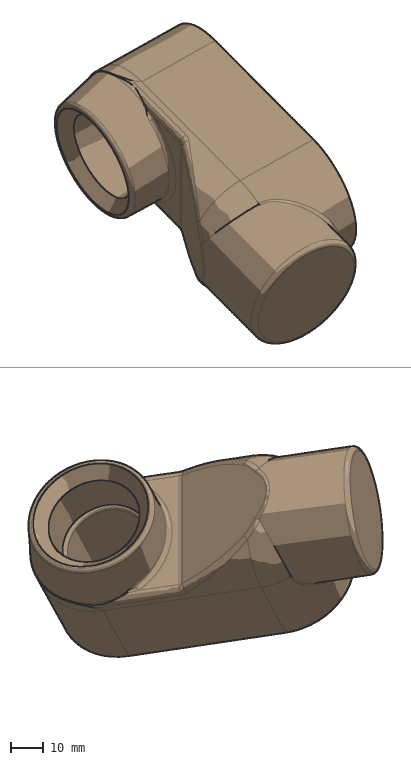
import cadquery as cq
import math

LENGTH = 107.4
DEPTH = 48.8
HALF_HEIGHT = 45.0 / 2

BODY_LENGTH = 95.8
LEFT_CENTER_X = HALF_HEIGHT
RIGHT_CENTER_X = BODY_LENGTH - HALF_HEIGHT
DRAFT_ANGLE = 0.4

PIPE_RADIUS = 40.5 / 2
PARTING_Y = PIPE_RADIUS
PIPE_OVERLAP = 2.1
PIPE_START_X = RIGHT_CENTER_X + PIPE_OVERLAP
PIPE_END_FILLET = 1.6
NECK_FILLET = 1.5

FLAT_Y = 15.9
RAMP_START_X = 48.7
RAMP_END_X = 81.2
RELIEF_FILLET = 2.6

BORE_X = 24.2
BOSS_TIP_RADIUS = PIPE_RADIUS
BOSS_ROOT_RADIUS = 22.1
BOSS_RIGHT_X = BORE_X + BOSS_TIP_RADIUS
BOSS_ROOT_X = BOSS_RIGHT_X - BOSS_ROOT_RADIUS
BOSS_TIP_FILLET = 1.3
BOSS_ROOT_FILLET = 1.5

BORE_RADIUS = 25.8 / 2
MOUTH_RADIUS = 18.6
SOCKET_OUTER_RADIUS = 14.7
SOCKET_INNER_RADIUS = 14.1
MOUTH_DEPTH = 3.8
SOCKET_DEPTH = 17.6
LIP_RADIUS = SOCKET_INNER_RADIUS - BORE_RADIUS


def stadium(y):
    """Body outline in the XZ plane at the given Y, with the normal along -Y."""
    return (
        cq.Workplane("XZ", origin=((LEFT_CENTER_X + RIGHT_CENTER_X) / 2, y, 0))
        .slot2D(BODY_LENGTH, 2 * HALF_HEIGHT)
    )


def make_pipe():
    return (
        cq.Workplane("YZ", origin=(PIPE_START_X, PARTING_Y, 0))
        .circle(PIPE_RADIUS)
        .extrude(LENGTH - PIPE_START_X)
        .faces(">X")
        .edges()
        .fillet(PIPE_END_FILLET)
    )


def make_rear_body():
    """Straight-sided rear half, slightly narrower at the back, filleted onto the pipe."""
    rear_space = (
        cq.Workplane("XY")
        .box(LENGTH, DEPTH - PARTING_Y, 2 * HALF_HEIGHT, centered=(False, False, True))
        .translate((0, PARTING_Y, 0))
    )
    neck_edges = cq.selectors.BoxSelector(
        (RIGHT_CENTER_X, PARTING_Y + NECK_FILLET, -PIPE_RADIUS),
        (BODY_LENGTH, PARTING_Y + PIPE_RADIUS, PIPE_RADIUS),
    )
    return (
        stadium(PARTING_Y)
        .extrude(PARTING_Y - DEPTH, taper=DRAFT_ANGLE)
        .union(make_pipe())
        .edges(neck_edges)
        .fillet(NECK_FILLET)
        .intersect(rear_space)
    )


def make_front_body():
    """Half-elliptic trough along X with an ellipsoidal right end."""
    trough = (
        cq.Workplane("YZ", origin=(0, PARTING_Y, 0))
        .ellipse(PARTING_Y, HALF_HEIGHT)
        .extrude(RIGHT_CENTER_X)
    )
    right_end = (
        cq.Workplane("XY", origin=(RIGHT_CENTER_X, PARTING_Y, 0))
        .moveTo(0, -PARTING_Y)
        .ellipseArc(HALF_HEIGHT, PARTING_Y, 270, 360, startAtCurrent=True)
        .lineTo(0, 0)
        .close()
        .revolve(360, (0, 0, 0), (0, 1, 0))
    )
    front_half = cq.Workplane("XY").box(
        BODY_LENGTH, PARTING_Y, 2 * HALF_HEIGHT, centered=(False, False, True)
    )
    return trough.union(right_end).intersect(front_half)


def make_relief():
    """Space in front of the flat face and the ramp."""
    margin = 5.4
    ramp_slope = FLAT_Y / (RAMP_END_X - RAMP_START_X)
    return (
        cq.Workplane("XY")
        .polyline([
            (-margin, FLAT_Y),
            (RAMP_START_X, FLAT_Y),
            (RAMP_END_X + margin, -margin * ramp_slope),
            (-margin, -margin * ramp_slope),
        ])
        .close()
        .extrude(2 * HALF_HEIGHT, both=True)
    )


def make_boss():
    """Loft from the wide root to the tip, with a straight root sunk into the body."""
    along_y = cq.Vector(0, 1, 0)
    root_circle = cq.Wire.makeCircle(BOSS_ROOT_RADIUS, cq.Vector(BOSS_ROOT_X, FLAT_Y, 0), along_y)
    tip_circle = cq.Wire.makeCircle(BOSS_TIP_RADIUS, cq.Vector(BORE_X, 0, 0), along_y)
    root = (
        cq.Workplane("XZ", origin=(BOSS_ROOT_X, PARTING_Y, 0))
        .circle(BOSS_ROOT_RADIUS)
        .extrude(PARTING_Y - FLAT_Y)
    )
    return (
        cq.Workplane(cq.Solid.makeLoft([root_circle, tip_circle]))
        .faces("<Y")
        .edges()
        .fillet(BOSS_TIP_FILLET)
        .union(root)
    )


def make_bore():
    """Conical mouth, tapered socket, rounded lip and through bore."""
    lip_mid = LIP_RADIUS * (1 - math.sqrt(0.5))
    return (
        cq.Workplane("XY", origin=(BORE_X, 0, 0))
        .moveTo(0, 0)
        .lineTo(MOUTH_RADIUS, 0)
        .lineTo(SOCKET_OUTER_RADIUS, MOUTH_DEPTH)
        .lineTo(SOCKET_INNER_RADIUS, SOCKET_DEPTH)
        .threePointArc(
            (BORE_RADIUS + lip_mid, SOCKET_DEPTH + lip_mid),
            (BORE_RADIUS, SOCKET_DEPTH + LIP_RADIUS),
        )
        .lineTo(BORE_RADIUS, DEPTH)
        .lineTo(0, DEPTH)
        .close()
        .revolve(360, (0, 0, 0), (0, 1, 0))
    )


def make_left_rounding():
    """Round left end of the stadium, with room for everything to its right."""
    right_space = (
        cq.Workplane("XY")
        .box(LENGTH, DEPTH, 2 * HALF_HEIGHT, centered=(False, False, True))
        .translate((LEFT_CENTER_X, 0, 0))
    )
    return (
        cq.Workplane("XZ", origin=(LEFT_CENTER_X, DEPTH, 0))
        .circle(HALF_HEIGHT)
        .extrude(DEPTH)
        .union(right_space)
    )


def make_relieved_front():
    """Trough and pipe cut by the relief, with the outline of the cut rounded."""
    front = make_front_body().union(make_pipe()).cut(make_relief())
    flat = cq.selectors.NearestToPointSelector((RAMP_START_X / 2, FLAT_Y, 0))
    ramp = cq.selectors.NearestToPointSelector(((RAMP_START_X + RAMP_END_X) / 2, FLAT_Y / 2, 0))
    return (
        front.faces(flat + ramp)
        .edges("not(<X)")
        .fillet(RELIEF_FILLET)
        .intersect(make_left_rounding())
    )


def make_front():
    """Relieved front half with the boss filleted onto the flat face."""
    root_edge = cq.selectors.BoxSelector(
        (BORE_X, FLAT_Y - BOSS_ROOT_FILLET, -BORE_RADIUS),
        (BOSS_RIGHT_X, FLAT_Y + BOSS_ROOT_FILLET, BORE_RADIUS),
    )
    return (
        make_relieved_front()
        .union(make_boss())
        .edges(root_edge)
        .fillet(BOSS_ROOT_FILLET)
    )


result = make_rear_body().union(make_front()).cut(make_bore())